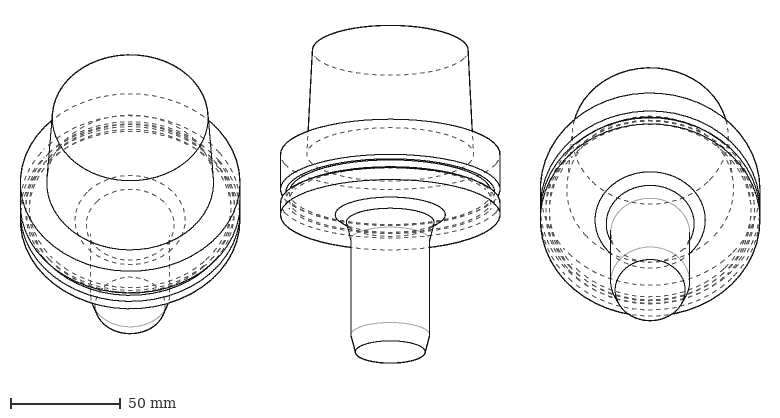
import cadquery as cq

total_height = 145.0
tip_height = 8.1
neck_start = 54.0
neck_break = 62.4
flange_bottom = 66.0
flange_top = 95.0
groove_center = 74.89

tip_radius = 16.0
shank_radius = 36.0 / 2
neck_radius = 20.0
neck_top_radius = 25.1
flange_radius = 100.0 / 2
taper_base_radius = 38.0
taper_top_radius = 35.5

groove_radius = 92.0 / 2
groove_width = 3.8
bevel_depth = 2.5
bevel_height = 1.3


def revolve_profile(points):
    """Turn a closed (radius, height) outline around the Z axis."""
    return cq.Workplane("XZ").polyline(points).close().revolve(360, (0, 0, 0), (0, 1, 0))


def make_body():
    """Shank, flared neck, flange and tapered head, without the groove."""
    return revolve_profile([
        (0, 0),
        (tip_radius, 0),
        (shank_radius, tip_height),
        (shank_radius, neck_start),
        (neck_radius, neck_break),
        (neck_top_radius, flange_bottom),
        (flange_radius, flange_bottom),
        (flange_radius, flange_top),
        (taper_base_radius, flange_top),
        (taper_top_radius, total_height),
        (0, total_height),
    ])


def make_groove():
    """Ring removed from the flange rim to form the groove."""
    floor_low = groove_center - groove_width / 2
    floor_high = groove_center + groove_width / 2
    bevel_radius = flange_radius - bevel_depth
    return revolve_profile([
        (groove_radius, floor_low),
        (bevel_radius, floor_low),
        (flange_radius, floor_low - bevel_height),
        (flange_radius, floor_high + bevel_height),
        (bevel_radius, floor_high),
        (groove_radius, floor_high),
    ])


result = make_body().cut(make_groove())